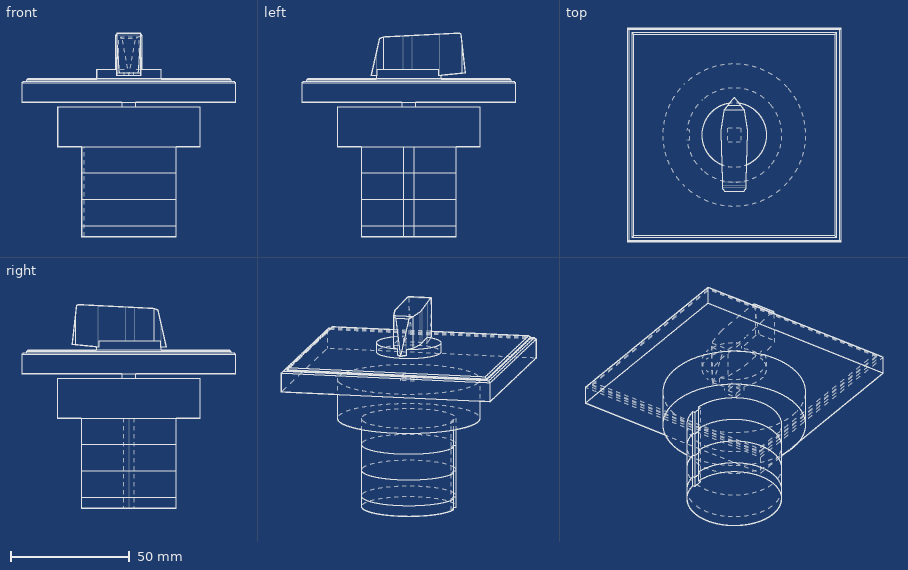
import cadquery as cq

total_height = 85.7
end_cap_height = 4.6
stage_count = 3
stage_stack_height = 33.3
flange_height = 16.8
shaft_length = 1.9
bezel_height = 8.8
face_plate_height = 1.2
disc_height = 3.9

stage_start = end_cap_height
stage_height = stage_stack_height / stage_count
flange_bottom = stage_start + stage_stack_height
shaft_bottom = flange_bottom + flange_height
bezel_bottom = shaft_bottom + shaft_length
face_plate_bottom = bezel_bottom + bezel_height
knob_bottom = face_plate_bottom + face_plate_height

stage_diameter = 39.9
groove_width = 4.3
groove_depth = 1.2
flange_diameter = 60.0
shaft_side = 5.8

bezel_side = 90.0
edge_chamfer = 0.7
ledge_width = 2.0
face_plate_side = bezel_side - 2 * ledge_width

disc_diameter = 27.2
pointer_tip_y = 15.8
pointer_root_y = 13.5
pointer_root_half_width = 1.9
shoulder_y = 10.5
shoulder_half_width = 4.2
bulge_front_y = 2.5
bulge_back_y = -1.35
bulge_half_width = 5.5
bulge_rise = 0.1
heel_y = -12.9
heel_half_width = 5.1
corner_y = -22.5
corner_half_width = 4.9
end_y = -23.85
end_half_width = 4.0

underside_z = knob_bottom + 1.3
end_underside_z = knob_bottom + 2.3
nose_y = 12.3
nose_z = total_height - 2.25
top_front_z = total_height - 1.5
top_back_y = -19.7
end_top_y = -22.0
end_edge_radius = 0.8


def grooved_cylinder(bottom, height):
    """Round switch section with a straight groove down its -X side."""
    groove_floor_x = groove_depth - stage_diameter / 2
    cylinder = cq.Workplane("XY").workplane(offset=bottom).circle(stage_diameter / 2).extrude(height)
    groove = (
        cq.Workplane("XY")
        .box(stage_diameter, groove_width, height, centered=(True, True, False))
        .translate((groove_floor_x - stage_diameter / 2, 0, bottom))
    )
    return cylinder.cut(groove)


def square_plate(side, bottom, height):
    """Square plate whose upper edge is chamfered all around."""
    plate = cq.Workplane("XY").workplane(offset=bottom).rect(side, side).extrude(height)
    return plate.faces(">Z").edges().chamfer(edge_chamfer)


def handle_plan():
    """Vertical prism with the handle's plan outline, half of it mirrored across X = 0."""
    return (
        cq.Workplane("XY")
        .workplane(offset=knob_bottom)
        .moveTo(0, pointer_tip_y)
        .lineTo(pointer_root_half_width, pointer_root_y)
        .lineTo(shoulder_half_width, shoulder_y)
        .lineTo(bulge_half_width, bulge_front_y)
        .threePointArc(
            (bulge_half_width + bulge_rise, (bulge_front_y + bulge_back_y) / 2),
            (bulge_half_width, bulge_back_y),
        )
        .lineTo(heel_half_width, heel_y)
        .lineTo(corner_half_width, corner_y)
        .lineTo(end_half_width, end_y)
        .lineTo(0, end_y)
        .mirrorY()
        .extrude(total_height - knob_bottom)
    )


def handle_side():
    """Prism across X with the outline of the handle seen from the side."""
    profile = (
        cq.Workplane("YZ")
        .moveTo(pointer_tip_y, underside_z)
        .lineTo(nose_y, nose_z)
        .lineTo(shoulder_y, top_front_z)
        .lineTo(top_back_y, total_height)
        .lineTo(end_top_y, total_height)
        .lineTo(end_y, end_underside_z)
        .lineTo(heel_y, underside_z)
        .close()
        .extrude(2 * bulge_half_width, both=True)
    )
    top_end_edge = cq.selectors.NearestToPointSelector((0, end_top_y, total_height))
    return profile.edges("|X").edges(top_end_edge).fillet(end_edge_radius)


def make_knob():
    disc = cq.Workplane("XY").workplane(offset=knob_bottom).circle(disc_diameter / 2).extrude(disc_height)
    handle = handle_plan().intersect(handle_side())
    return disc.union(handle)


end_cap = grooved_cylinder(0, end_cap_height)

stages = []
for index in range(stage_count):
    stages.append(grooved_cylinder(stage_start + index * stage_height, stage_height))

flange = cq.Workplane("XY").workplane(offset=flange_bottom).circle(flange_diameter / 2).extrude(flange_height)
shaft = cq.Workplane("XY").workplane(offset=shaft_bottom).rect(shaft_side, shaft_side).extrude(shaft_length)
bezel = square_plate(bezel_side, bezel_bottom, bezel_height)
face_plate = square_plate(face_plate_side, face_plate_bottom, face_plate_height)
knob = make_knob()

result = cq.Compound.makeCompound([
    end_cap.val(),
    *[stage.val() for stage in stages],
    flange.val(),
    shaft.val(),
    bezel.val(),
    face_plate.val(),
    knob.val(),
])